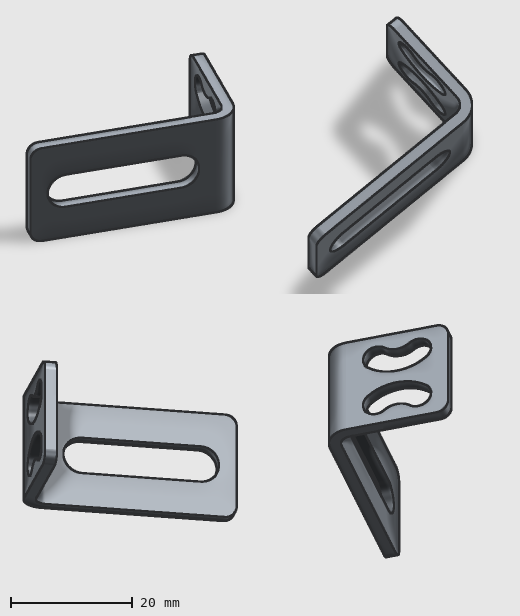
import cadquery as cq
import math

WIDTH_X = 21.5
LENGTH_Y = 36.0
HEIGHT = 18.0
THICKNESS = 2.0

BEND_INNER_RADIUS = 2.0
BEND_OUTER_RADIUS = BEND_INNER_RADIUS + THICKNESS
CORNER_RADIUS = 2.0

SLOT_LENGTH = 26.0
SLOT_WIDTH = 6.2
LONG_FLAT = LENGTH_Y - BEND_OUTER_RADIUS
SLOT_CENTRE_Y = LONG_FLAT / 2

CURVED_SLOT_WIDTH = 4.5
CURVED_SLOT_PATH_RADIUS = 5.75
CURVED_SLOT_HALF_ANGLE = math.radians(38.6)
CURVED_SLOT_CENTRE_OFFSET = 9.2
SHORT_FLAT = WIDTH_X - BEND_OUTER_RADIUS
CURVED_SLOT_CENTRE_X = SHORT_FLAT / 2

MID_HEIGHT = HEIGHT / 2


def bent_strip():
    """L-shaped strip: short leg along X at the +Y end, long leg along Y at the +X end."""
    short_leg = cq.Workplane("XY").box(WIDTH_X, THICKNESS, HEIGHT, centered=False)
    short_leg = short_leg.translate((0, LENGTH_Y - THICKNESS, 0))
    long_leg = cq.Workplane("XY").box(THICKNESS, LENGTH_Y, HEIGHT, centered=False)
    long_leg = long_leg.translate((WIDTH_X - THICKNESS, 0, 0))
    inner_corner = cq.selectors.NearestToPointSelector(
        (WIDTH_X - THICKNESS, LENGTH_Y - THICKNESS, MID_HEIGHT)
    )
    outer_corner = cq.selectors.NearestToPointSelector((WIDTH_X, LENGTH_Y, MID_HEIGHT))
    strip = short_leg.union(long_leg)
    strip = strip.edges(inner_corner).fillet(BEND_INNER_RADIUS)
    return strip.edges(outer_corner).fillet(BEND_OUTER_RADIUS)


def round_free_corners(strip):
    """Round the top and bottom corners at the free end of each leg."""
    strip = strip.faces("<X").edges("|Y").fillet(CORNER_RADIUS)
    return strip.faces("<Y").edges("|X").fillet(CORNER_RADIUS)


def straight_slot():
    """Cutter for the slot through the long leg."""
    return (
        cq.Workplane("YZ", origin=(WIDTH_X - THICKNESS, SLOT_CENTRE_Y, MID_HEIGHT))
        .slot2D(SLOT_LENGTH, SLOT_WIDTH)
        .extrude(THICKNESS)
    )


def curved_slot(side):
    """Cutter for one curved slot, bulging towards mid-height; side is +1 (upper) or -1 (lower)."""
    inner_radius = CURVED_SLOT_PATH_RADIUS - CURVED_SLOT_WIDTH / 2
    outer_radius = CURVED_SLOT_PATH_RADIUS + CURVED_SLOT_WIDTH / 2
    end_radius = CURVED_SLOT_WIDTH / 2

    def point(radius, angle):
        x = radius * math.sin(angle)
        z = side * (CURVED_SLOT_CENTRE_OFFSET - radius * math.cos(angle))
        return (x, z)

    def end_tip(direction):
        angle = direction * CURVED_SLOT_HALF_ANGLE
        x, z = point(CURVED_SLOT_PATH_RADIUS, angle)
        tip_x = x + direction * end_radius * math.cos(angle)
        tip_z = z + side * end_radius * math.sin(CURVED_SLOT_HALF_ANGLE)
        return (tip_x, tip_z)

    half = CURVED_SLOT_HALF_ANGLE
    return (
        cq.Workplane("XZ", origin=(CURVED_SLOT_CENTRE_X, LENGTH_Y, MID_HEIGHT))
        .moveTo(*point(outer_radius, -half))
        .threePointArc(point(outer_radius, 0), point(outer_radius, half))
        .threePointArc(end_tip(1), point(inner_radius, half))
        .threePointArc(point(inner_radius, 0), point(inner_radius, -half))
        .threePointArc(end_tip(-1), point(outer_radius, -half))
        .close()
        .extrude(THICKNESS)
    )


result = round_free_corners(bent_strip()).cut(straight_slot())
for slot_side in (1, -1):
    result = result.cut(curved_slot(slot_side))